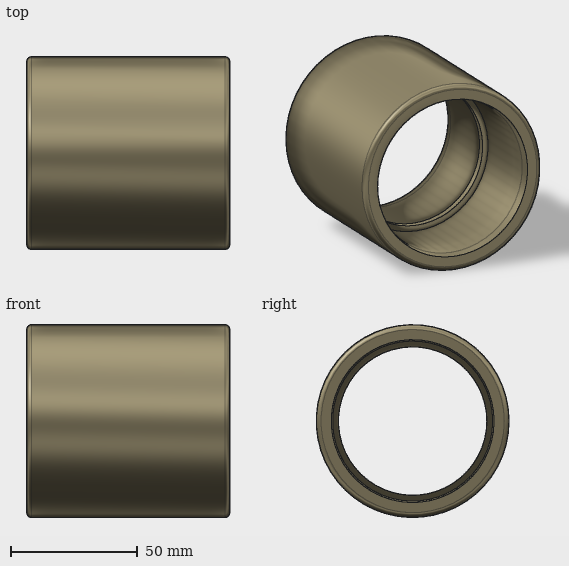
import cadquery as cq

length = 80.0
outer_diameter = 76.0
edge_radius = 1.9

mouth_diameter = 64.2
socket_diameter = 63.0
stop_diameter = 58.4
stop_width = 3.2
lead_in_depth = 4.0

half_length = length / 2
half_stop = stop_width / 2
lead_in_end = half_length - lead_in_depth
mouth_radius = mouth_diameter / 2
socket_radius = socket_diameter / 2


def cylinder_along_x(diameter):
    """Full-length cylinder centred on the origin."""
    return cq.Workplane("YZ", origin=(-half_length, 0, 0)).circle(diameter / 2).extrude(length)


def make_socket():
    """Socket on the +X side: straight bore opening through a slightly tapered lead-in."""
    profile = [
        (half_stop, 0),
        (half_stop, socket_radius),
        (lead_in_end, socket_radius),
        (half_length, mouth_radius),
        (half_length, 0),
    ]
    return cq.Workplane("XY").polyline(profile).close().revolve(360, (0, 0, 0), (1, 0, 0))


body = cylinder_along_x(outer_diameter)
body = body.edges("%CIRCLE").fillet(edge_radius)

bore = cylinder_along_x(stop_diameter)

socket = make_socket()
result = body.cut(bore).cut(socket).cut(socket.mirror("YZ"))